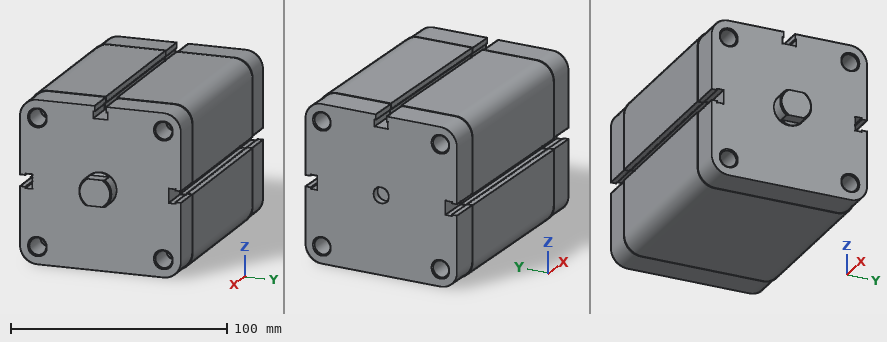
import cadquery as cq

total_length = 117.5
rod_projection = 7.4
cap_length = 14.9
barrel_length = total_length - rod_projection - 2 * cap_length

barrel_width = 80.0
cap_setback = 0.4
cap_width = barrel_width - 2 * cap_setback
bolt_spacing = 62.0
bolt_hole_diameter = 8.2
bolt_hole_chamfer = 0.6

slot_lip_depth = 3.0
barrel_mouth_width = 5.4
barrel_slot_width = 6.3
barrel_slot_depth = 6.1
cap_mouth_width = 5.6
cap_slot_width = 7.0
cap_slot_depth = 6.5
slot_side_angles = (-90, 0, 90)

centre_hole_diameter = 8.0
centre_hole_depth = 4.0

rod_diameter = 16.0
rod_chamfer = 0.6
flat_spacing = 12.9
flat_start = 1.3
shoulder_lean = 0.6


def square_block(width, start_x, length):
    """Square bar along X with its long edges rounded about the bolt axes."""
    return (
        cq.Workplane("YZ", origin=(start_x, 0, 0))
        .rect(width, width)
        .extrude(length)
        .edges("|X")
        .fillet((width - bolt_spacing) / 2)
    )


def cut_bolt_holes(block):
    return (
        block.faces("<X")
        .workplane(centerOption="CenterOfBoundBox")
        .rect(bolt_spacing, bolt_spacing, forConstruction=True)
        .vertices()
        .hole(bolt_hole_diameter)
    )


def cut_slots(block, start_x, length, mouth_width, inner_width, depth):
    """Cut a T-slot along the top and both Y sides."""
    outer_z = barrel_width / 2
    lip_z = outer_z - slot_lip_depth
    floor_z = outer_z - depth
    slot = (
        cq.Workplane("YZ", origin=(start_x, 0, 0))
        .moveTo(-mouth_width / 2, outer_z)
        .lineTo(-mouth_width / 2, lip_z)
        .lineTo(-inner_width / 2, lip_z)
        .lineTo(-inner_width / 2, floor_z)
        .lineTo(inner_width / 2, floor_z)
        .lineTo(inner_width / 2, lip_z)
        .lineTo(mouth_width / 2, lip_z)
        .lineTo(mouth_width / 2, outer_z)
        .close()
        .extrude(length)
    )
    for angle in slot_side_angles:
        block = block.cut(slot.rotate((0, 0, 0), (1, 0, 0), angle))
    return block


def make_barrel():
    barrel = square_block(barrel_width, cap_length, barrel_length)
    barrel = cut_bolt_holes(barrel)
    return cut_slots(
        barrel, cap_length, barrel_length, barrel_mouth_width, barrel_slot_width, barrel_slot_depth
    )


def make_cap(start_x, outer_face):
    """End cap with its bolt holes chamfered on the outer face."""
    cap = square_block(cap_width, start_x, cap_length)
    cap = cut_bolt_holes(cap)
    hole_rims = cap.faces(outer_face).val().innerWires()
    cap = cap.newObject([rim.Edges()[0] for rim in hole_rims]).chamfer(bolt_hole_chamfer)
    return cut_slots(cap, start_x, cap_length, cap_mouth_width, cap_slot_width, cap_slot_depth)


def make_rear_cap():
    centre_hole = cq.Workplane("YZ").circle(centre_hole_diameter / 2).extrude(centre_hole_depth)
    return make_cap(0, "<X").cut(centre_hole)


def make_rod():
    """Rod end on the front cap face, with flats above and below that end at a sloping shoulder."""
    face_x = total_length - rod_projection
    rod_radius = rod_diameter / 2
    rod = (
        cq.Workplane("YZ", origin=(face_x, 0, 0))
        .circle(rod_radius)
        .extrude(rod_projection)
        .faces(">X")
        .chamfer(rod_chamfer)
    )
    floor_z = flat_spacing / 2
    floor_x = face_x + flat_start
    flat_cutter = (
        cq.Workplane("XZ")
        .moveTo(total_length, floor_z)
        .lineTo(floor_x, floor_z)
        .lineTo(floor_x - shoulder_lean, rod_radius)
        .lineTo(total_length, rod_radius)
        .close()
        .extrude(rod_radius, both=True)
    )
    return rod.cut(flat_cutter).cut(flat_cutter.mirror("XY"))


barrel = make_barrel()
rear_cap = make_rear_cap()
front_cap = make_cap(cap_length + barrel_length, ">X")
rod = make_rod()

result = cq.Compound.makeCompound([barrel.val(), rear_cap.val(), front_cap.val(), rod.val()])